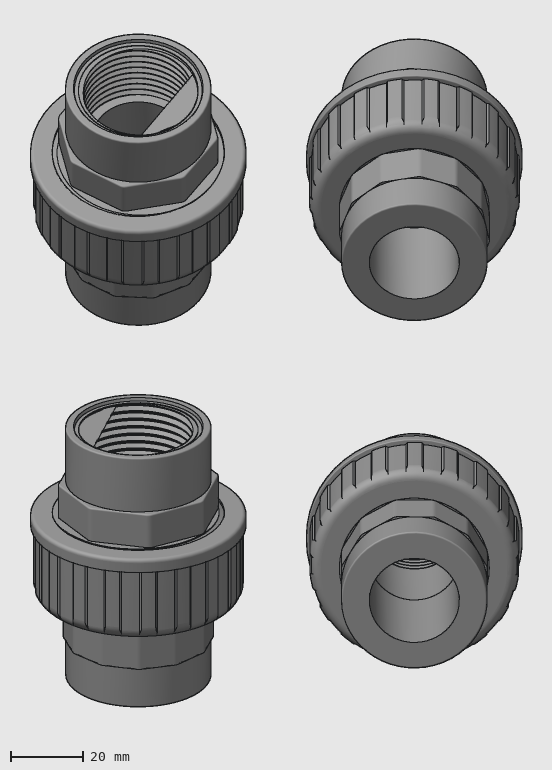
import cadquery as cq
import math

total_height = 77.1
spigot_dia = 40.5
bore_dia = 25.0
end_round = 0.5
corner_round = 2.3

nut_bottom = 25.1
nut_top = 50.5
flange_bottom = 46.5
flange_dia = 60.0
flange_top_round = 1.1
flange_bottom_round = 0.3
grip_dia = 57.2
grip_round = 2.7
rib_dia = 58.3
rib_count = 18
rib_top_width = 3.85
rib_root_width = 4.9
rib_round = 3.85
nut_bore_dia = 47.8
shoulder_top = 29.1
tail_dia = 41.6

facet_count = 12
facet_bottom = 12.1
collar_top = 32.9

octagon_width = 41.8
octagon_top = 60.6
octagon_round = 0.5
neck_root_dia = 44.9
recess_dia = 36.0
recess_floor_dia = 35.5
recess_depth = 0.9
lead_in_depth = 0.2
thread_major_dia = 33.2
thread_minor_dia = 30.4
thread_pitch = 2.3
thread_flat = 0.3
socket_floor = 57.05
thread_overlap = 0.15


def cylinder(diameter, bottom, top):
    return cq.Workplane("XY").workplane(offset=bottom).circle(diameter / 2).extrude(top - bottom)


def rounded_prism(sides, width, bottom, top):
    """Regular prism with rounded corners and flats facing +/-X and +/-Y."""
    corner_dia = width / math.cos(math.pi / sides)
    prism = cq.Workplane("XY").workplane(offset=bottom).polygon(sides, corner_dia).extrude(top - bottom)
    prism = prism.rotate((0, 0, 0), (0, 0, 1), 180 / sides)
    return prism.edges("|Z").fillet(corner_round)


def thread_groove(open_radius, root_radius, first_turn, last_turn):
    """Helical V groove cutter, from its open side to its root; the heights are groove middles at +X."""
    outward = math.copysign(1, root_radius - open_radius)
    mouth_radius = open_radius - outward * thread_overlap
    half_root = thread_flat / 2
    flank_slope = (thread_pitch / 2 - thread_flat) / abs(root_radius - open_radius)
    half_mouth = half_root + flank_slope * abs(root_radius - mouth_radius)
    path = cq.Wire.makeHelix(
        thread_pitch,
        last_turn - first_turn,
        open_radius,
        center=cq.Vector(0, 0, first_turn),
    )
    profile = cq.Workplane("XZ").polyline([
        (mouth_radius, first_turn - half_mouth),
        (root_radius, first_turn - half_root),
        (root_radius, first_turn + half_root),
        (mouth_radius, first_turn + half_mouth),
    ]).close()
    return profile.sweep(cq.Workplane(obj=path), isFrenet=True)


def make_threaded_end():
    neck_last_turn = nut_top + thread_pitch / 2
    neck_turns = math.floor((nut_top - collar_top) / thread_pitch) + 1
    neck_groove = thread_groove(
        nut_bore_dia / 2,
        neck_root_dia / 2,
        neck_last_turn - neck_turns * thread_pitch,
        neck_last_turn,
    )
    long_neck = cylinder(nut_bore_dia, collar_top - 2 * thread_pitch, nut_top + 2 * thread_pitch)
    neck = long_neck.cut(neck_groove).intersect(cylinder(flange_dia, collar_top, nut_top))
    octagon = rounded_prism(8, octagon_width, nut_top, octagon_top).faces(">Z").edges().fillet(octagon_round)
    spigot = cylinder(spigot_dia, nut_top, total_height).faces(">Z").edges().fillet(end_round)
    body = neck.union(octagon).union(spigot)

    recess_floor = total_height - recess_depth
    lead_in_floor = recess_floor - lead_in_depth
    socket = (
        cq.Workplane("XZ")
        .moveTo(0, collar_top)
        .lineTo(bore_dia / 2, collar_top)
        .lineTo(bore_dia / 2, socket_floor)
        .lineTo(thread_minor_dia / 2, socket_floor)
        .lineTo(thread_minor_dia / 2, lead_in_floor)
        .lineTo(thread_major_dia / 2, lead_in_floor)
        .lineTo(thread_major_dia / 2, recess_floor)
        .lineTo(recess_floor_dia / 2, recess_floor)
        .lineTo(recess_dia / 2, total_height)
        .lineTo(0, total_height)
        .close()
        .revolve(360, (0, 0, 0), (0, 1, 0))
    )
    socket_turns = math.ceil((lead_in_floor - socket_floor) / thread_pitch) + 1
    socket_groove = thread_groove(
        thread_minor_dia / 2,
        thread_major_dia / 2,
        lead_in_floor - socket_turns * thread_pitch,
        lead_in_floor + thread_pitch,
    ).intersect(cylinder(recess_dia, socket_floor, lead_in_floor))
    return body.cut(socket).cut(socket_groove)


def make_tail_piece():
    spigot = cylinder(spigot_dia, 0, nut_bottom).faces("<Z").edges().fillet(end_round)
    facets = rounded_prism(facet_count, spigot_dia, facet_bottom, nut_bottom)
    neck = cylinder(tail_dia, nut_bottom, shoulder_top)
    collar = cylinder(nut_bore_dia, shoulder_top, collar_top)
    body = spigot.union(facets).union(neck).union(collar)
    return body.cut(cylinder(bore_dia, 0, collar_top))


def make_ribs():
    """Tapered grip ribs, all trimmed by one turned blank with a rounded lower edge."""
    blank = cylinder(rib_dia, nut_bottom, flange_bottom).faces("<Z").edges().fillet(rib_round)
    bar = (
        cq.Workplane("XY")
        .workplane(offset=nut_bottom)
        .polyline([
            (nut_bore_dia / 2 + 0.8, -rib_root_width / 2),
            (grip_dia / 2, -rib_root_width / 2),
            (rib_dia / 2, -rib_top_width / 2),
            (flange_dia / 2, -rib_top_width / 2),
            (flange_dia / 2, rib_top_width / 2),
            (rib_dia / 2, rib_top_width / 2),
            (grip_dia / 2, rib_root_width / 2),
            (nut_bore_dia / 2 + 0.8, rib_root_width / 2),
        ])
        .close()
        .extrude(flange_bottom - nut_bottom)
    )
    rib = bar.intersect(blank)
    return [rib.rotate((0, 0, 0), (0, 0, 1), 90 + i * 360 / rib_count) for i in range(rib_count)]


def make_nut():
    nut = cylinder(grip_dia, nut_bottom, flange_bottom).faces("<Z").edges().fillet(grip_round)
    for rib in make_ribs():
        nut = nut.union(rib)
    flange = cylinder(flange_dia, flange_bottom, nut_top)
    flange = flange.faces(">Z").edges().fillet(flange_top_round)
    flange = flange.faces("<Z").edges().fillet(flange_bottom_round)
    nut = nut.union(flange)
    nut = nut.cut(cylinder(nut_bore_dia, shoulder_top, nut_top))
    return nut.cut(cylinder(tail_dia, nut_bottom, shoulder_top))


threaded_end = make_threaded_end()
tail_piece = make_tail_piece()
nut = make_nut()

result = cq.Compound.makeCompound([threaded_end.val(), tail_piece.val(), nut.val()])